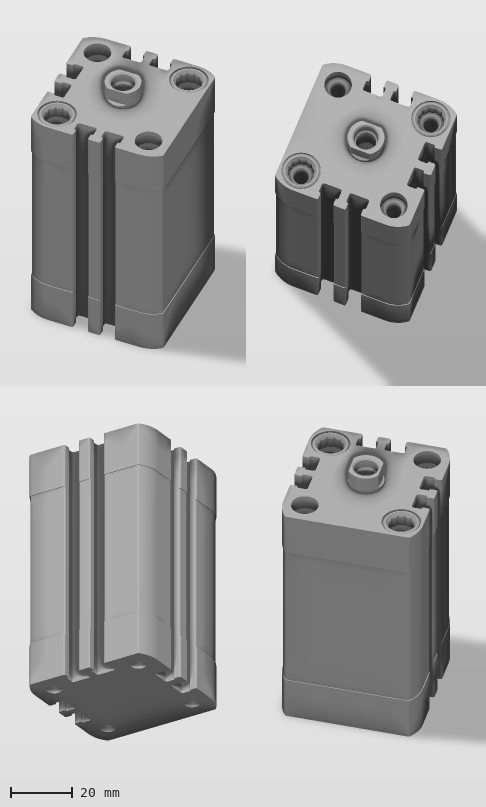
import cadquery as cq
import math

WIDTH = 47.0
TOTAL_HEIGHT = 90.6
ROD_PROJECTION = 6.6
HOUSING_HEIGHT = TOTAL_HEIGHT - ROD_PROJECTION
CAP_HEIGHT = 15.0
BARREL_INSET = 0.3
EDGE_RADIUS = 0.5
CORNER_EDGE_RADIUS = 0.7

SCREW_OFFSET = 16.2
CORNER_RADIUS = 11.1

SLOT_DEPTH = 6.1
LIP_DEPTH = 2.5
MOUTH_INNER = 2.2
MOUTH_OUTER = 7.4
POCKET_INNER = 1.4
POCKET_OUTER = 8.2
POCKET_FLOOR_RADIUS = 0.7
SLOT_SIDE_ANGLES = (0, 180, 270)

THROUGH_DIAMETER = 4.9
THROUGH_CHAMFER_DIAMETER = 6.0
COUNTERBORE_DIAMETER = 9.0
COUNTERBORE_DEPTH = 5.0

RECESS_DIAMETER = 12.8
HEAD_DIAMETER = 11.9
HEAD_CHAMFER = 0.45
RECESS_DEPTH = 0.8
SOCKET_RIM_DIAMETER = 10.2
SOCKET_DIAMETER = 8.4
SOCKET_LEAD_ANGLE = 58
SPLINE_COUNT = 12
SPLINE_ROOT_RADIUS = 4.5
SPLINE_MOUTH_WIDTH = 1.1

ROD_DIAMETER = 12.0
FLAT_SPACING = 10.0
FLAT_LENGTH = 4.9
FLAT_RUNOUT_ANGLE = 30
ROD_BORE_RIM_DIAMETER = 9.0
ROD_BORE_DIAMETER = 8.0
ROD_BORE_DEPTH = 3.35
ROD_TAP_DIAMETER = 6.6
ROD_TAP_DEPTH = 12.7
DRILL_POINT_ANGLE = 118


def revolved(profile):
    """Solid of revolution about Z from (radius, z) points."""
    return cq.Workplane("XZ").polyline(profile).close().revolve(360, (0, 0), (0, 1))


def section_blank(half, arc_radius, height):
    """Square block whose Y faces roll over to the X faces in large arcs."""
    arc_y = WIDTH / 2 - CORNER_RADIUS
    end_x = half - SCREW_OFFSET
    end_y = arc_y + math.sqrt(arc_radius**2 - end_x**2)
    half_sweep = math.asin(end_x / arc_radius) / 2
    mid_x = SCREW_OFFSET + arc_radius * math.sin(half_sweep)
    mid_y = arc_y + arc_radius * math.cos(half_sweep)
    outline = (
        cq.Workplane("XY")
        .moveTo(-SCREW_OFFSET, -half)
        .lineTo(SCREW_OFFSET, -half)
        .threePointArc((mid_x, -mid_y), (half, -end_y))
        .lineTo(half, end_y)
        .threePointArc((mid_x, mid_y), (SCREW_OFFSET, half))
        .lineTo(-SCREW_OFFSET, half)
        .threePointArc((-mid_x, mid_y), (-half, end_y))
        .lineTo(-half, -end_y)
        .threePointArc((-mid_x, -mid_y), (-SCREW_OFFSET, -half))
        .close()
    )
    blank = outline.extrude(height)
    return blank.edges("|Z and (<X or >X)").fillet(CORNER_EDGE_RADIUS)


def slot_pair(half, height):
    """Cutter for the two T-slots of the -Y side, with rounded mouth edges."""
    face_y = -half
    lip_y = -WIDTH / 2 + LIP_DEPTH
    floor_y = -WIDTH / 2 + SLOT_DEPTH
    center_x = (POCKET_INNER + POCKET_OUTER) / 2
    pocket = (
        cq.Workplane("XY")
        .center(center_x, (lip_y + floor_y) / 2)
        .rect(POCKET_OUTER - POCKET_INNER, floor_y - lip_y)
        .extrude(height)
        .edges("|Z and >Y")
        .fillet(POCKET_FLOOR_RADIUS)
        .edges("|Z and <Y")
        .fillet(EDGE_RADIUS)
    )
    left = MOUTH_INNER
    right = MOUTH_OUTER
    bend = EDGE_RADIUS * (1 - math.sqrt(0.5))
    mouth = (
        cq.Workplane("XY")
        .moveTo(left - EDGE_RADIUS, face_y)
        .threePointArc((left - bend, face_y + bend), (left, face_y + EDGE_RADIUS))
        .lineTo(left, floor_y - POCKET_FLOOR_RADIUS)
        .lineTo(right, floor_y - POCKET_FLOOR_RADIUS)
        .lineTo(right, face_y + EDGE_RADIUS)
        .threePointArc((right + bend, face_y + bend), (right + EDGE_RADIUS, face_y))
        .close()
        .extrude(height)
    )
    slot = pocket.union(mouth)
    return slot.union(slot.mirror("YZ"))


def housing_section(inset, base_z, height):
    """One length of the slotted profile, set in from the full width."""
    half = WIDTH / 2 - inset
    section = section_blank(half, CORNER_RADIUS - inset, height)
    slots = slot_pair(half, height)
    for angle in SLOT_SIDE_ANGLES:
        section = section.cut(slots.rotate((0, 0, 0), (0, 0, 1), angle))
    return section.translate((0, 0, base_z))


def through_hole(wide_diameter):
    """Cutter for a wide bore stepping down to a chamfered hole right through; top at z = 0."""
    wide = wide_diameter / 2
    hole = THROUGH_DIAMETER / 2
    chamfer = THROUGH_CHAMFER_DIAMETER / 2
    return revolved([
        (0, 0),
        (wide, 0),
        (wide, -COUNTERBORE_DEPTH),
        (chamfer, -COUNTERBORE_DEPTH),
        (hole, -COUNTERBORE_DEPTH - (chamfer - hole)),
        (hole, -HOUSING_HEIGHT),
        (0, -HOUSING_HEIGHT),
    ])


def screw_socket():
    """Cutter for a splined screw head: ring groove, lead-in cone, splines and hole; top at z = 0."""
    recess = RECESS_DIAMETER / 2
    head = HEAD_DIAMETER / 2
    groove = revolved([
        (recess, 0),
        (recess, -RECESS_DEPTH),
        (head, -RECESS_DEPTH),
        (head, -HEAD_CHAMFER),
        (head - HEAD_CHAMFER, 0),
    ])

    rim = SOCKET_RIM_DIAMETER / 2
    bore = SOCKET_DIAMETER / 2
    lead_depth = (rim - bore) * math.tan(math.radians(SOCKET_LEAD_ANGLE))
    lead_in = revolved([(0, 0), (rim, 0), (bore, -lead_depth), (0, -lead_depth)])

    half_mouth = SPLINE_MOUTH_WIDTH / 2
    mouth_x = math.sqrt(bore**2 - half_mouth**2)
    notch = (
        cq.Workplane("XY")
        .moveTo(0, 0)
        .lineTo(mouth_x, -half_mouth)
        .lineTo(SPLINE_ROOT_RADIUS, 0)
        .lineTo(mouth_x, half_mouth)
        .close()
        .extrude(-COUNTERBORE_DEPTH)
    )
    cutter = through_hole(SOCKET_DIAMETER).union(lead_in)
    for index in range(SPLINE_COUNT):
        cutter = cutter.union(notch.rotate((0, 0, 0), (0, 0, 1), index * 360 / SPLINE_COUNT))
    return cutter.union(groove)


def make_housing():
    """Slotted barrel between two slightly wider caps, with corner holes and a rod bore."""
    barrel_height = HOUSING_HEIGHT - 2 * CAP_HEIGHT
    top_cap_z = CAP_HEIGHT + barrel_height
    housing = (
        housing_section(0, 0, CAP_HEIGHT)
        .union(housing_section(BARREL_INSET, CAP_HEIGHT, barrel_height))
        .union(housing_section(0, top_cap_z, CAP_HEIGHT))
    )

    plain_hole = through_hole(COUNTERBORE_DIAMETER)
    socket = screw_socket()
    for side in (-1, 1):
        x = side * SCREW_OFFSET
        housing = housing.cut(socket.translate((x, x, HOUSING_HEIGHT)))
        housing = housing.cut(plain_hole.translate((x, -x, HOUSING_HEIGHT)))

    rod_bore = cq.Workplane("XY").workplane(offset=top_cap_z).circle(ROD_DIAMETER / 2).extrude(CAP_HEIGHT)
    return housing.cut(rod_bore)


def wrench_flat():
    """Cutter for the -Y wrench flat, running out on a slope at its lower end."""
    flat_y = FLAT_SPACING / 2
    outer_y = ROD_DIAMETER
    flat_end_z = TOTAL_HEIGHT - FLAT_LENGTH
    runout_drop = (outer_y - flat_y) * math.tan(math.radians(FLAT_RUNOUT_ANGLE))
    return (
        cq.Workplane("YZ")
        .moveTo(-flat_y, TOTAL_HEIGHT)
        .lineTo(-flat_y, flat_end_z)
        .lineTo(-outer_y, flat_end_z - runout_drop)
        .lineTo(-outer_y, TOTAL_HEIGHT)
        .close()
        .extrude(ROD_DIAMETER / 2, both=True)
    )


def rod_end_bore():
    """Cutter for the chamfered, stepped and drill-pointed bore; top at z = 0."""
    rim = ROD_BORE_RIM_DIAMETER / 2
    bore = ROD_BORE_DIAMETER / 2
    tap = ROD_TAP_DIAMETER / 2
    point_depth = tap / math.tan(math.radians(DRILL_POINT_ANGLE / 2))
    return revolved([
        (0, 0),
        (rim, 0),
        (bore, -(rim - bore)),
        (bore, -ROD_BORE_DEPTH),
        (tap, -ROD_BORE_DEPTH - (bore - tap)),
        (tap, -ROD_TAP_DEPTH),
        (0, -ROD_TAP_DEPTH - point_depth),
    ])


def make_rod():
    """Piston rod filling the top cap bore, with wrench flats and a bored end."""
    base_z = HOUSING_HEIGHT - CAP_HEIGHT
    rod = (
        cq.Workplane("XY")
        .workplane(offset=base_z)
        .circle(ROD_DIAMETER / 2)
        .extrude(TOTAL_HEIGHT - base_z)
    )
    flat = wrench_flat()
    rod = rod.cut(flat).cut(flat.mirror("XZ"))
    return rod.cut(rod_end_bore().translate((0, 0, TOTAL_HEIGHT)))


housing = make_housing()
rod = make_rod()

result = cq.Compound.makeCompound([housing.val(), rod.val()])